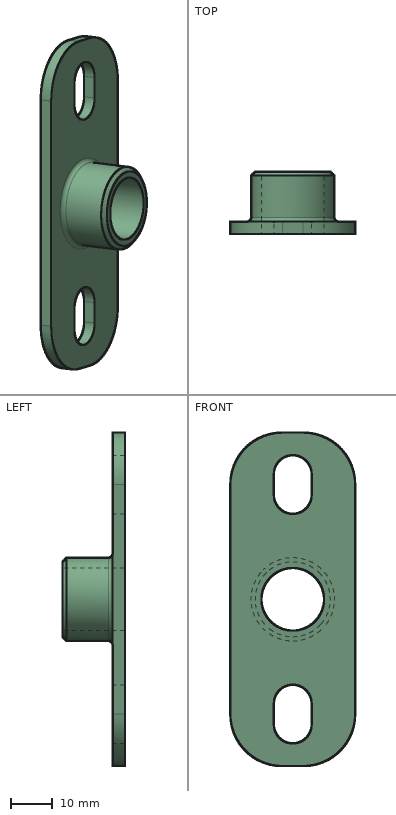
import cadquery as cq

plate_width = 30.0
plate_height = 80.0
plate_thickness = 3.0
corner_radius = 12.5

slot_width = 9.0
slot_length = 14.0
slot_offset = 27.5

overall_depth = 15.0
boss_diameter = 20.0
bore_diameter = 14.95
rim_chamfer = 1.0
foot_fillet = 1.0

boss_radius = boss_diameter / 2
boss_rim_radius = boss_radius - rim_chamfer
boss_foot_radius = boss_radius + foot_fillet


def make_plate():
    """Rounded plate with its front face on Y = 0, reaching back to +Y."""
    plate = cq.Workplane("XY").box(
        plate_width, plate_thickness, plate_height, centered=(True, False, True)
    )
    return plate.edges("|Y").fillet(corner_radius)


def make_boss():
    """Boss revolved about the Y axis, filleted into the plate and chamfered at the rim."""
    return (
        cq.Workplane("XY")
        .lineTo(boss_foot_radius, 0)
        .lineTo(boss_foot_radius, plate_thickness)
        .radiusArc((boss_radius, plate_thickness + foot_fillet), foot_fillet)
        .lineTo(boss_radius, overall_depth - rim_chamfer)
        .lineTo(boss_rim_radius, overall_depth)
        .lineTo(0, overall_depth)
        .close()
        .revolve(360, (0, 0, 0), (0, 1, 0))
    )


def make_bore():
    """Cylinder that opens the boss and the plate right through."""
    return cq.Workplane("XZ").circle(bore_diameter / 2).extrude(-overall_depth)


def make_slots():
    """Upright rounded slots through the plate, placed evenly about the bore."""
    return (
        cq.Workplane("XZ")
        .pushPoints([(0, slot_offset), (0, -slot_offset)])
        .slot2D(slot_length, slot_width, 90)
        .extrude(-plate_thickness)
    )


result = make_plate().union(make_boss()).cut(make_bore()).cut(make_slots())